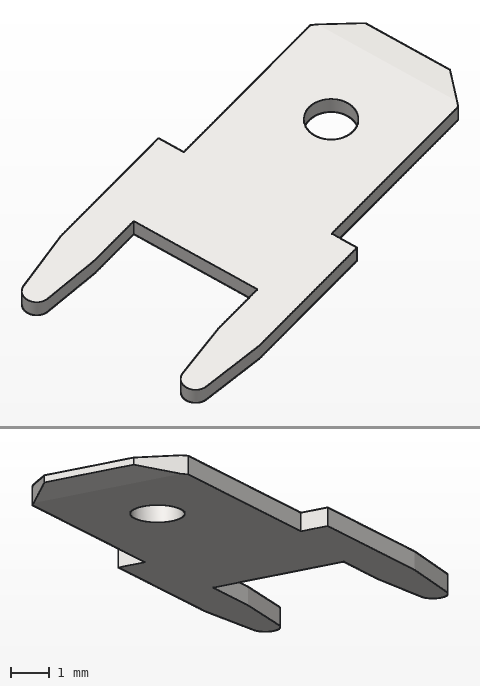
import cadquery as cq

length = 12.95
body_width = 6.35
thickness = 0.5

blade_width = 4.73
blade_length = 6.46
corner_cut = 1.01
bevel_length = 0.88
bevel_end_thickness = 0.2

hole_diameter = 1.4
hole_from_tip = 3.3

slot_width = 3.95
slot_depth = 3.81
outer_taper_height = 2.28
inner_taper_height = 2.12
leg_tip_center = 2.54
leg_tip_width = 0.76
leg_tip_height = 0.34

shoulder_y = length - blade_length
outer_tip_x = leg_tip_center + leg_tip_width / 2
inner_tip_x = leg_tip_center - leg_tip_width / 2


def make_half_plate():
    """Right half of the plate, from the centre line to +X."""
    return (
        cq.Workplane("XY")
        .moveTo(0, length)
        .lineTo(blade_width / 2 - corner_cut, length)
        .lineTo(blade_width / 2, length - corner_cut)
        .lineTo(blade_width / 2, shoulder_y)
        .lineTo(body_width / 2, shoulder_y)
        .lineTo(body_width / 2, outer_taper_height)
        .lineTo(outer_tip_x, leg_tip_height)
        .threePointArc((leg_tip_center, 0), (inner_tip_x, leg_tip_height))
        .lineTo(slot_width / 2, inner_taper_height)
        .lineTo(slot_width / 2, slot_depth)
        .lineTo(0, slot_depth)
        .close()
        .extrude(thickness)
    )


def make_bevel_cutter():
    """Wedge that thins the upper face towards the blade tip."""
    bevel_drop = (thickness - bevel_end_thickness) / 2
    return (
        cq.Workplane("YZ")
        .moveTo(length - bevel_length, thickness)
        .lineTo(length, thickness - bevel_drop)
        .lineTo(length, thickness)
        .close()
        .extrude(blade_width / 2, both=True)
    )


half_plate = make_half_plate()
plate = half_plate.union(half_plate.mirror("YZ"))

upper_cutter = make_bevel_cutter()
lower_cutter = upper_cutter.mirror("XY", (0, 0, thickness / 2))
plate = plate.cut(upper_cutter).cut(lower_cutter)

hole = (
    cq.Workplane("XY")
    .center(0, length - hole_from_tip)
    .circle(hole_diameter / 2)
    .extrude(thickness)
)

result = plate.cut(hole).clean()